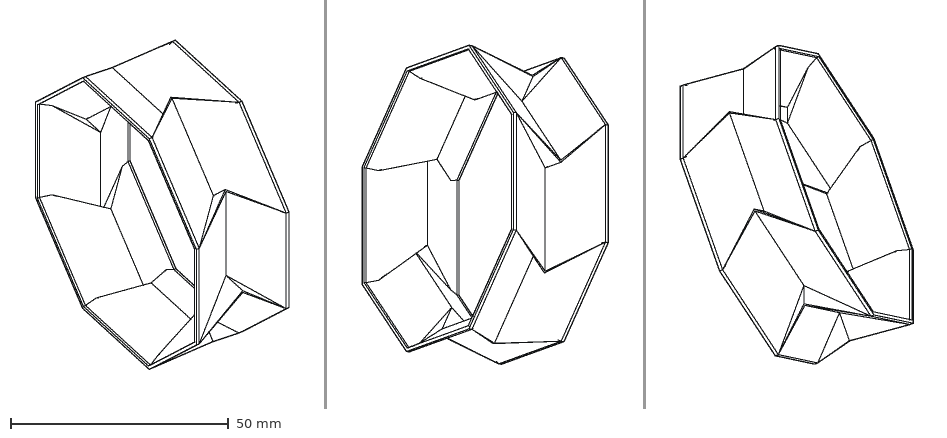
import cadquery as cq
import math

side_count = 8
across_flats = 66.8
width = 25.6
wall = 0.8
fold_angle = 30.0
cap_run = 10.3

sector = 360.0 / side_count
apothem = across_flats / 2
corner = apothem * math.tan(math.radians(sector / 2))
half_width = width / 2
groove_half = half_width - wall
fold_slope = math.tan(math.radians(fold_angle))
fold_shift = wall / math.cos(math.radians(fold_angle))
cap_slope = cap_run / groove_half
cap_shift = wall * math.hypot(1, cap_slope)


def octagon(apothem_size):
    """Octagonal prism about Y with flats at the top and the sides."""
    diameter = 2 * apothem_size / math.cos(math.radians(sector / 2))
    return (
        cq.Workplane("XZ")
        .transformed(rotate=(0, 0, sector / 2))
        .polygon(side_count, diameter)
        .extrude(half_width, both=True)
    )


def groove(radial_shift, cap_offset):
    """V groove along the top side, closed at its +X end by an arrow-shaped end face."""
    bottom = apothem - groove_half * fold_slope - radial_shift
    rise = width * fold_slope
    vee = (
        cq.Workplane("YZ")
        .polyline([(0, bottom), (width, bottom + rise), (-width, bottom + rise)])
        .close()
        .extrude(across_flats, both=True)
    )
    tip = corner - cap_run + cap_offset
    flare = tip + width * cap_slope
    far_end = -across_flats
    arrow_points = [(tip, 0), (flare, width), (far_end, width), (far_end, -width), (flare, -width)]
    arrow = cq.Workplane("XY").polyline(arrow_points).close().extrude(across_flats)
    return vee.intersect(arrow)


def around(shape):
    """Copies of a top-side shape, one on every side of the octagon."""
    return [shape.rotate((0, 0, 0), (0, 1, 0), i * sector) for i in range(side_count)]


envelope = octagon(apothem)
result = envelope.cut(octagon(apothem - wall))
for lining in around(groove(fold_shift, cap_shift)):
    result = result.union(lining.intersect(envelope))

for opening in around(groove(0, 0)):
    result = result.cut(opening)